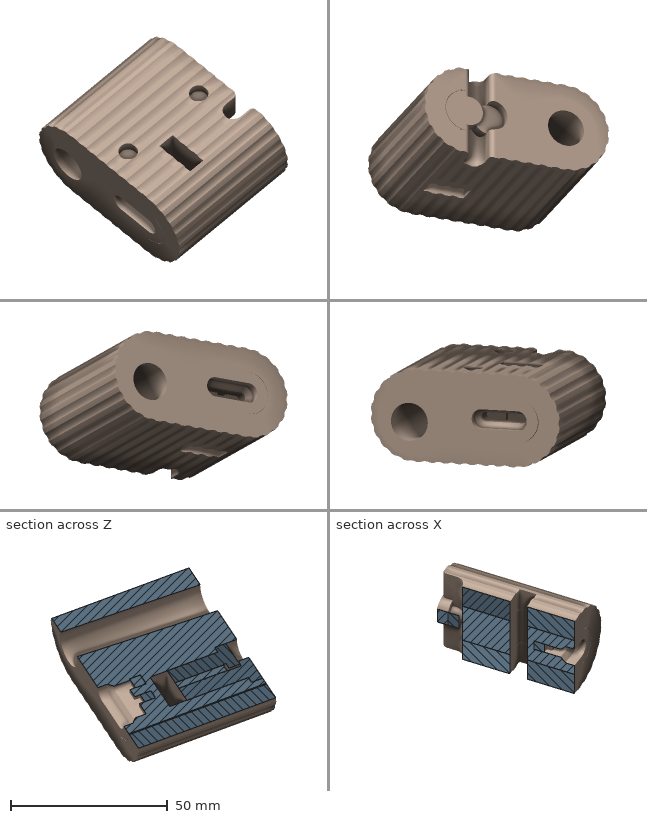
import cadquery as cq
import math

length_x = 63.1
depth_y = 49.0
height_z = 30.0
half_depth = depth_y / 2
half_height = height_z / 2

groove_count = 36
groove_radius = 3.1
groove_chord = 3.0
groove_offset = math.sqrt(groove_radius**2 - (groove_chord / 2) ** 2)

groove_center_radius = half_height + groove_offset
end_crest_reach = (half_height**2 - groove_radius**2 + groove_center_radius**2) / (2 * groove_center_radius)
end_center_x = length_x / 2 - end_crest_reach
outline_length = 2 * (end_center_x + half_height)

split_x = -7.6
tongue_half_height = 7.0
tongue_end_center_x = 17.3
tongue_end_gap = 0.2

bore_diameter = 12.3
bore_front_center = (-18.7, -2.15)
bore_back_center = (-16.85, -0.3)

round_pocket_diameter = 6.2
round_pocket_depth = 3.3
round_pocket_y = 16.0

shank_diameter = 5.5
head_diameter = 10.0
head_thickness = 3.9
bolt_mid_x = 12.45
bolt_spacing = 8.4
bolts_layout = [
    (bolt_mid_x + bolt_spacing / 2, half_depth),
    (bolt_mid_x - bolt_spacing / 2, half_depth - head_thickness),
]

window_width = bolt_spacing + shank_diameter
window_front_y = -7.45
window_back_y = -1.5

notch_width = 6.95
notch_depth = 8.85
notch_lip_radius = 1.7

slot_center_x = 11.35
slot_straight = 12.0
mouth_height = 6.45
mouth_depth = 3.3
throat_height = 3.0
throat_depth = 3.8
taper_depth = (mouth_height - throat_height) / 2
taper_angle = 45
throat_start_y = -half_depth + mouth_depth + taper_depth
throat_end_y = throat_start_y + throat_depth

well_depth = 1.9
pin_length = 3.8
pin_front_y = throat_end_y + well_depth
pins_layout = [(5.3, 4.0), (bolt_mid_x, 3.1)]


def box(x_range, y_range, z_range):
    sizes = [high - low for low, high in (x_range, y_range, z_range)]
    corner = (x_range[0], y_range[0], z_range[0])
    return cq.Workplane("XY").box(*sizes, centered=False).translate(corner)


def front_facing_plane(y):
    """Plane that faces -Y, with X to the right and Z upward."""
    return cq.Workplane(cq.Plane(origin=(0, y, 0), xDir=(1, 0, 0), normal=(0, -1, 0)))


def rod(x, diameter, y_start, y_end):
    """Cylinder along Y at mid height."""
    return front_facing_plane(y_end).center(x, 0).circle(diameter / 2).extrude(y_end - y_start)


def outline_point(distance):
    """Point and outward direction on the racetrack, at a distance clockwise from the top's left end."""
    straight = 2 * end_center_x
    half_lap = straight + math.pi * half_height
    second_half = distance >= half_lap
    run = distance - half_lap if second_half else distance
    angle = max(run - straight, 0) / half_height
    out_x, out_z = math.sin(angle), math.cos(angle)
    x = min(run, straight) - end_center_x + half_height * out_x
    z = half_height * out_z
    turn = -1 if second_half else 1
    return turn * x, turn * z, turn * out_x, turn * out_z


def make_outer_shape():
    lap = 4 * end_center_x + 2 * math.pi * half_height
    pitch = lap / groove_count
    first_distance = end_center_x % pitch
    shape = front_facing_plane(half_depth).slot2D(outline_length, height_z).extrude(depth_y)
    for i in range(groove_count):
        x, z, out_x, out_z = outline_point(first_distance + i * pitch)
        groove_x = x + groove_offset * out_x
        groove_z = z + groove_offset * out_z
        groove = front_facing_plane(half_depth).center(groove_x, groove_z).circle(groove_radius)
        shape = shape.cut(groove.extrude(depth_y))
    return shape


def make_tongue_shape(round_end_x):
    """Bar from the split toward +X with a full-round end."""
    y_range = (-half_depth, half_depth)
    z_range = (-tongue_half_height, tongue_half_height)
    bar = box((split_x, round_end_x), y_range, z_range)
    return bar.union(rod(round_end_x, 2 * tongue_half_height, *y_range))


def make_split_side():
    """Everything on the body's side of the split."""
    return box((-outline_length / 2, split_x), (-half_depth, half_depth), (-half_height, half_height))


def make_bore():
    wires = []
    for (x, z), y in ((bore_front_center, -half_depth), (bore_back_center, half_depth)):
        wires.append(cq.Wire.makeCircle(bore_diameter / 2, cq.Vector(x, y, z), cq.Vector(0, 1, 0)))
    return cq.Workplane(obj=cq.Solid.makeLoft(wires, True))


def make_window_box(y_range, z_range):
    x_range = (bolt_mid_x - window_width / 2, bolt_mid_x + window_width / 2)
    return box(x_range, y_range, z_range)


def make_notch():
    radius = notch_width / 2
    lip = notch_lip_radius
    return (
        cq.Workplane("XY", origin=(bolt_mid_x, half_depth, -half_height))
        .moveTo(-radius - lip, 0)
        .radiusArc((-radius, -lip), lip)
        .lineTo(-radius, radius - notch_depth)
        .threePointArc((0, -notch_depth), (radius, radius - notch_depth))
        .lineTo(radius, -lip)
        .radiusArc((radius + lip, 0), lip)
        .close()
        .extrude(height_z)
    )


def make_slot_step(y_start, depth, height, narrowing_angle=0):
    plane = front_facing_plane(y_start).center(slot_center_x, 0)
    return plane.slot2D(slot_straight + height, height).extrude(-depth, taper=narrowing_angle)


def make_slot():
    mouth = make_slot_step(-half_depth, mouth_depth, mouth_height)
    taper = make_slot_step(-half_depth + mouth_depth, taper_depth, mouth_height, taper_angle)
    throat = make_slot_step(throat_start_y, throat_depth, throat_height)
    return mouth.union(taper).union(throat)


def make_well(x, diameter):
    """Deeper stretch of the slot floor, as wide as the pin behind it."""
    floor = make_slot_step(throat_end_y, well_depth, throat_height)
    x_range = (x - diameter / 2, x + diameter / 2)
    return floor.intersect(box(x_range, (throat_end_y, pin_front_y), (-half_height, half_height)))


def make_pin(x, diameter):
    return rod(x, diameter, pin_front_y, pin_front_y + pin_length)


def make_bolt(x, head_back_y):
    """Bolt with its head toward +Y and its shank ending at the window."""
    head_front_y = head_back_y - head_thickness
    head = rod(x, head_diameter, head_front_y, head_back_y)
    return head.union(rod(x, shank_diameter, window_back_y, head_front_y))


def make_bolt_bore(x, head_back_y):
    """Bore for a bolt, with the head recess open at the back."""
    recess = rod(x, head_diameter, head_back_y - head_thickness, half_depth)
    return recess.union(make_bolt(x, head_back_y))


def make_body():
    body = outer_shape.intersect(make_split_side().union(make_tongue_shape(tongue_end_center_x)))
    body = body.cut(make_bore()).cut(window).cut(notch).cut(make_slot())
    for x, head_back_y in bolts_layout:
        body = body.cut(make_bolt_bore(x, head_back_y))
    for x, diameter in pins_layout:
        body = body.cut(make_well(x, diameter)).cut(make_pin(x, diameter))
    return body


def make_sleeve():
    channel = make_tongue_shape(tongue_end_center_x + tongue_end_gap)
    cover_gap = make_window_box((window_back_y, half_depth), (-half_height, half_height))
    sleeve = outer_shape.cut(make_split_side()).cut(channel).cut(window).cut(cover_gap)
    pocket_floor_z = half_height - round_pocket_depth
    pockets = (
        cq.Workplane("XY", origin=(0, 0, pocket_floor_z))
        .pushPoints([(0, -round_pocket_y), (0, round_pocket_y)])
        .circle(round_pocket_diameter / 2)
        .extrude(round_pocket_depth)
    )
    return sleeve.cut(pockets)


def make_cover(z_range):
    """Grooved plate that fills the sleeve wall from the window to the back."""
    blank = make_window_box((window_back_y, half_depth), z_range)
    return outer_shape.intersect(blank).cut(notch)


outer_shape = make_outer_shape()
window = make_window_box((window_front_y, window_back_y), (-half_height, half_height))
notch = make_notch()

body = make_body()
sleeve = make_sleeve()
covers = [
    make_cover((tongue_half_height, half_height)),
    make_cover((-half_height, -tongue_half_height)),
]
bolts = [make_bolt(x, head_back_y) for x, head_back_y in bolts_layout]
pins = [make_pin(x, diameter) for x, diameter in pins_layout]

result = cq.Compound.makeCompound(
    [part.solids().val() for part in [body, sleeve] + covers + bolts + pins]
)